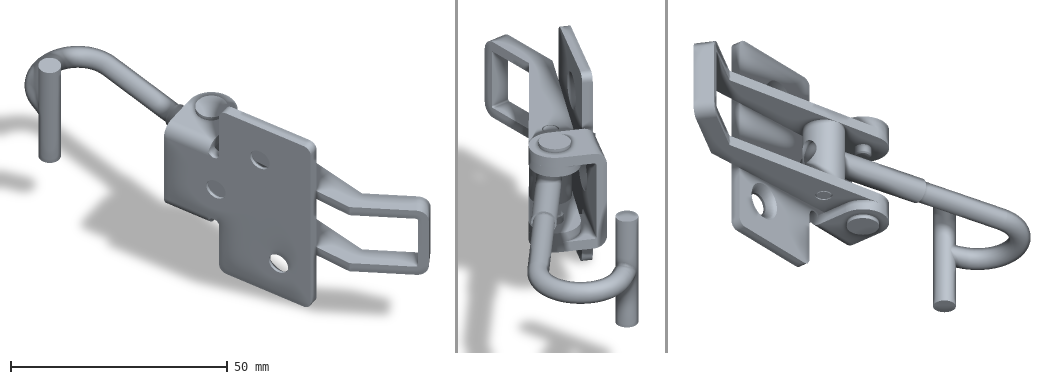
import cadquery as cq
import math


OVERALL_LENGTH = 110

SHEET = 2.5
PIVOT_HEIGHT = 11.0
EAR_RADIUS = 6.0
EAR_OUTER_Z = 12.5
BEND_INNER_RADIUS = 0.4
BEND_OUTER_RADIUS = SHEET + BEND_INNER_RADIUS
RELIEF_WIDTH = 3.0
PLATE_LENGTH = 25.0
PLATE_HEIGHT = 50.0
PLATE_CORNER_RADIUS = 2.0
PLATE_LEFT = EAR_RADIUS + RELIEF_WIDTH
HOLE_RADIUS = 2.6
SINK_RADIUS = 4.5
SINK_DEPTH = SINK_RADIUS - HOLE_RADIUS
CENTER_HOLE_X = 8.1
MOUNT_HOLE_Z = 15.0
UPPER_HOLE_X = 20.1
LOWER_HOLE_X = 25.2

LEVER_OUTER_Z = EAR_OUTER_Z - SHEET
LEVER_INNER_Z = LEVER_OUTER_Z - SHEET
KNEE_X = 43.3
KNEE_LOW_Y = 1.9
HANDLE_WIDTH = 5.0
HANDLE_ANGLE = 27.5
HANDLE_INNER_RADIUS = 0.4
HANDLE_OUTER_RADIUS = SHEET + HANDLE_INNER_RADIUS

RIVET_RADIUS = 2.0
RIVET_HEAD_RADIUS = 3.7
RIVET_HEAD_HEIGHT = 1.0
RIVET_TAIL = 2.2
RIVET_CHAMFER = 0.3

BARREL_X = 12.0
BARREL_Y = 9.3
BARREL_RADIUS = 5.0
JOURNAL_RADIUS = 2.0
JOURNAL_CHAMFER = 0.3
COUNTERSINK_RADIUS = 4.0

ROD_RADIUS = 2.5
SHANK_RADIUS = 3.0
SHANK_LENGTH = 26.4
SHANK_DEPTH = 3.5
ROD_ANGLE = 15.9
ROD_LENGTH = 49.2
HOOK_RADIUS = 9.8
TAIL_ANGLE = 30
TAIL_LENGTH = 4.6
CROSSBAR_RADIUS = 2.6
CROSSBAR_LENGTH = 28.0
WELD_RADIUS = 0.5

ROD_RUN = ROD_LENGTH * math.cos(math.radians(ROD_ANGLE))
HOOK_CENTER_X = BARREL_X - ROD_RUN - HOOK_RADIUS * math.sin(math.radians(ROD_ANGLE))
HOOK_END_X = HOOK_CENTER_X - HOOK_RADIUS - ROD_RADIUS
HANDLE_LENGTH = (HOOK_END_X + OVERALL_LENGTH - KNEE_X) / math.cos(math.radians(HANDLE_ANGLE))


def z_cylinder(x, y, radius, z_start, z_end):
    """Cylinder parallel to Z."""
    return (
        cq.Workplane("XY", origin=(x, y, z_start))
        .circle(radius)
        .extrude(z_end - z_start)
    )


def z_box(x_start, x_end, y_start, y_end, half_height):
    """Box between X and Y limits, centred on Z = 0."""
    return (
        cq.Workplane("XY", origin=(0, 0, -half_height))
        .moveTo(x_start, y_start)
        .lineTo(x_end, y_start)
        .lineTo(x_end, y_end)
        .lineTo(x_start, y_end)
        .close()
        .extrude(2 * half_height)
    )


def step(point, angle, distance):
    """Point (x, y) at a distance from another one, along an angle in degrees from +X."""
    radians = math.radians(angle)
    return (point[0] + distance * math.cos(radians), point[1] + distance * math.sin(radians))


PIVOT = (0, PIVOT_HEIGHT)


def make_base():
    channel = z_box(-EAR_RADIUS, EAR_RADIUS, 0, PIVOT_HEIGHT, EAR_OUTER_Z)
    channel = channel.edges("|X and <Y").fillet(BEND_OUTER_RADIUS)
    channel = channel.union(z_cylinder(*PIVOT, EAR_RADIUS, -EAR_OUTER_Z, EAR_OUTER_Z))
    ear_top = PIVOT_HEIGHT + EAR_RADIUS
    inside = z_box(-EAR_RADIUS, EAR_RADIUS, SHEET, ear_top, LEVER_OUTER_Z)
    inside = inside.edges("|X and <Y").fillet(BEND_INNER_RADIUS)
    channel = channel.cut(inside)

    plate = z_box(PLATE_LEFT, PLATE_LEFT + PLATE_LENGTH, 0, SHEET, PLATE_HEIGHT / 2)
    plate = plate.edges("|Y").fillet(PLATE_CORNER_RADIUS)
    relief_radius = RELIEF_WIDTH / 2
    relief_center_z = EAR_OUTER_Z - BEND_OUTER_RADIUS + relief_radius
    neck = z_box(EAR_RADIUS, PLATE_LEFT, 0, SHEET, relief_center_z)
    for side in (1, -1):
        relief = (
            cq.Workplane("XZ")
            .center(EAR_RADIUS + relief_radius, side * relief_center_z)
            .circle(relief_radius)
            .extrude(-SHEET)
        )
        neck = neck.cut(relief)
    base = channel.union(plate).union(neck)

    hole_places = [
        (CENTER_HOLE_X, 0),
        (UPPER_HOLE_X, MOUNT_HOLE_Z),
        (LOWER_HOLE_X, -MOUNT_HOLE_Z),
    ]
    screw_holes = (
        cq.Workplane("XZ")
        .pushPoints(hole_places)
        .circle(HOLE_RADIUS)
        .extrude(-SHEET)
    )
    base = base.cut(screw_holes)
    for x, z in hole_places:
        countersink = cq.Solid.makeCone(
            HOLE_RADIUS,
            SINK_RADIUS,
            SINK_DEPTH,
            pnt=cq.Vector(x, SHEET - SINK_DEPTH, z),
            dir=cq.Vector(0, 1, 0),
        )
        base = base.cut(cq.Workplane(countersink))
    rivet_hole = z_cylinder(*PIVOT, RIVET_RADIUS, -EAR_OUTER_Z, EAR_OUTER_Z)
    return base.cut(rivet_hole)


def tangent_point(target, side):
    """Point where a line from the target touches the round lever end (side +1 top, -1 bottom)."""
    dx = target[0] - PIVOT[0]
    dy = target[1] - PIVOT[1]
    half_angle = math.degrees(math.acos(EAR_RADIUS / math.hypot(dx, dy)))
    return step(PIVOT, math.degrees(math.atan2(dy, dx)) + side * half_angle, EAR_RADIUS)


def make_lever():
    knee_low = (KNEE_X, KNEE_LOW_Y)
    knee_high = (KNEE_X, KNEE_LOW_Y + HANDLE_WIDTH / math.cos(math.radians(HANDLE_ANGLE)))
    tip_low = step(knee_low, HANDLE_ANGLE, HANDLE_LENGTH)
    tip_high = step(tip_low, HANDLE_ANGLE + 90, HANDLE_WIDTH)
    lever = (
        cq.Workplane("XY", origin=(0, 0, -LEVER_OUTER_Z))
        .moveTo(*tangent_point(knee_low, -1))
        .lineTo(*knee_low)
        .lineTo(*tip_low)
        .lineTo(*tip_high)
        .lineTo(*knee_high)
        .lineTo(*tangent_point(knee_high, 1))
        .threePointArc((-EAR_RADIUS, PIVOT_HEIGHT), tangent_point(knee_low, -1))
        .close()
        .extrude(2 * LEVER_OUTER_Z)
    )

    tip_middle = step(tip_low, HANDLE_ANGLE + 90, HANDLE_WIDTH / 2)
    margin = HANDLE_WIDTH / 4
    corner_edges = cq.selectors.BoxSelector(
        (tip_middle[0] - margin, tip_middle[1] - margin, -PLATE_HEIGHT),
        (tip_middle[0] + margin, tip_middle[1] + margin, PLATE_HEIGHT),
    )
    across_handle = cq.selectors.ParallelDirSelector(
        cq.Vector(*step((0, 0), HANDLE_ANGLE + 90, 1), 0)
    )
    lever = lever.edges(corner_edges).edges(across_handle).fillet(HANDLE_OUTER_RADIUS)

    reach = KNEE_X + HANDLE_LENGTH
    space = z_box(-2 * reach, -SHEET, -reach, reach, LEVER_INNER_Z)
    space = space.edges("|Y and >X").fillet(HANDLE_INNER_RADIUS)
    space = space.rotate((0, 0, 0), (0, 0, 1), HANDLE_ANGLE).translate((*tip_low, 0))
    lever = lever.cut(space)

    lever = lever.cut(z_cylinder(*PIVOT, RIVET_RADIUS, -LEVER_OUTER_Z, LEVER_OUTER_Z))
    journal_hole = z_cylinder(BARREL_X, BARREL_Y, JOURNAL_RADIUS, -LEVER_OUTER_Z, LEVER_OUTER_Z)
    return lever.cut(journal_hole)


def make_rivet(side):
    """Rivet on the +Z (side 1) or -Z (side -1) ear."""
    shank = z_cylinder(*PIVOT, RIVET_RADIUS, LEVER_INNER_Z - RIVET_TAIL, EAR_OUTER_Z)
    shank = shank.faces("<Z").chamfer(RIVET_CHAMFER)
    head = z_cylinder(*PIVOT, RIVET_HEAD_RADIUS, EAR_OUTER_Z, EAR_OUTER_Z + RIVET_HEAD_HEIGHT)
    rivet = shank.union(head)
    return rivet if side > 0 else rivet.mirror("XY")


def rod_plane(distance):
    """Plane across the rod, at a distance from the barrel axis, facing the hook."""
    rod_heading = 180 - ROD_ANGLE
    center = step((BARREL_X, BARREL_Y), rod_heading, distance)
    return cq.Plane(
        origin=(*center, 0),
        xDir=(0, 0, 1),
        normal=(*step((0, 0), rod_heading, 1), 0),
    )


def make_barrel():
    barrel = z_cylinder(BARREL_X, BARREL_Y, BARREL_RADIUS, -LEVER_INNER_Z, LEVER_INNER_Z)
    journals = z_cylinder(BARREL_X, BARREL_Y, JOURNAL_RADIUS, -LEVER_OUTER_Z, LEVER_OUTER_Z)
    journals = journals.faces("<Z or >Z").chamfer(JOURNAL_CHAMFER)
    barrel = barrel.union(journals)

    bore = cq.Workplane(rod_plane(-BARREL_RADIUS)).circle(SHANK_RADIUS).extrude(2 * BARREL_RADIUS)
    sink_depth = COUNTERSINK_RADIUS - SHANK_RADIUS
    sink_bottom = rod_plane(BARREL_RADIUS - sink_depth)
    countersink = cq.Solid.makeCone(
        SHANK_RADIUS, COUNTERSINK_RADIUS, sink_depth, pnt=sink_bottom.origin, dir=sink_bottom.zDir
    )
    return barrel.cut(bore).cut(cq.Workplane(countersink))


def make_hook():
    shank_start = rod_plane(-SHANK_DEPTH)
    shank = cq.Workplane(shank_start).circle(SHANK_RADIUS).extrude(SHANK_DEPTH + SHANK_LENGTH)

    rod_heading = 180 - ROD_ANGLE
    tail_heading = 360 - TAIL_ANGLE
    rod_start = step((BARREL_X, BARREL_Y), rod_heading, SHANK_LENGTH)
    curve_start = step((BARREL_X, BARREL_Y), rod_heading, ROD_LENGTH)
    curve_center = step(curve_start, rod_heading + 90, HOOK_RADIUS)
    curve_middle = step(curve_center, (rod_heading + tail_heading) / 2 - 90, HOOK_RADIUS)
    curve_end = step(curve_center, tail_heading - 90, HOOK_RADIUS)
    tail_end = step(curve_end, tail_heading, TAIL_LENGTH)
    path = (
        cq.Workplane("XY")
        .moveTo(*rod_start)
        .lineTo(*curve_start)
        .threePointArc(curve_middle, curve_end)
        .lineTo(*tail_end)
    )
    rod = cq.Workplane(rod_plane(SHANK_LENGTH)).circle(ROD_RADIUS).sweep(path)

    half_length = CROSSBAR_LENGTH / 2
    crossbar = z_cylinder(*tail_end, CROSSBAR_RADIUS, -half_length, half_length)
    hook = shank.union(rod).union(crossbar)

    joint_box = cq.selectors.BoxSelector(
        (tail_end[0] - 2 * CROSSBAR_RADIUS, tail_end[1] - 2 * CROSSBAR_RADIUS, -CROSSBAR_RADIUS),
        (tail_end[0] + CROSSBAR_RADIUS, tail_end[1] + 2 * CROSSBAR_RADIUS, CROSSBAR_RADIUS),
    )
    return hook.edges(joint_box).edges("%BSPLINE").fillet(WELD_RADIUS)


base = make_base()
lever = make_lever()
rivets = [make_rivet(side) for side in (1, -1)]
barrel = make_barrel()
hook = make_hook()

result = cq.Compound.makeCompound([
    base.val(),
    lever.val(),
    *[rivet.val() for rivet in rivets],
    barrel.val(),
    hook.val(),
])